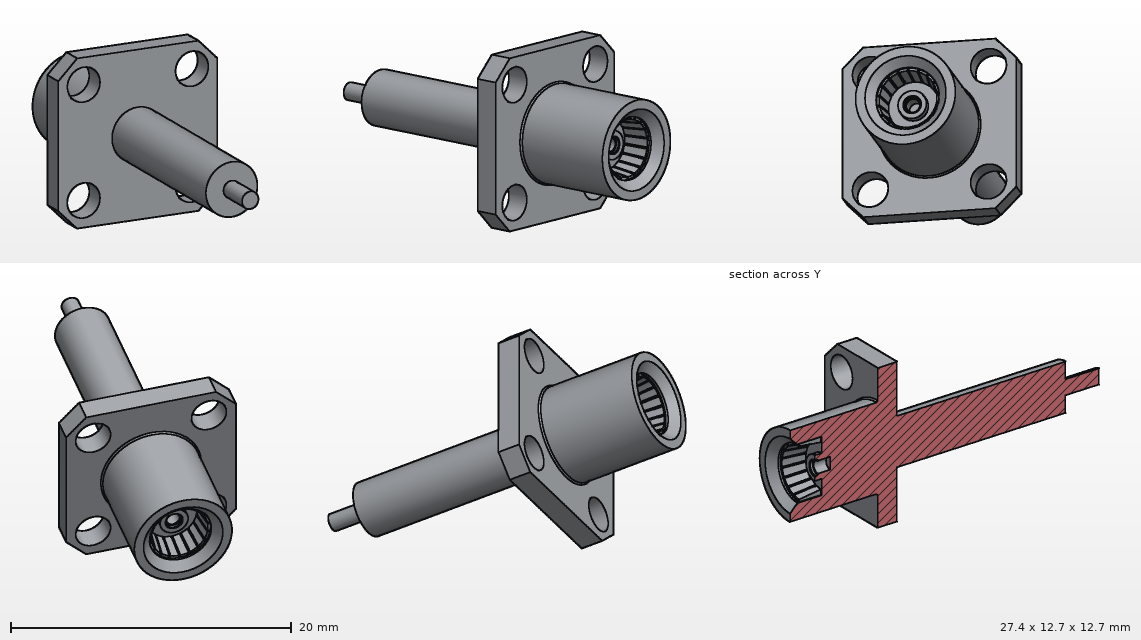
import cadquery as cq

total_length = 27.4
flange_front = 7.78
flange_thickness = 1.73
flange_back = flange_front + flange_thickness
sleeve_end = 24.45

flange_side = 12.7
corner_chamfer = 1.5
hole_spacing = 8.63
hole_diameter = 2.6

barrel_radius = 3.65
flare_radius = 3.75
flare_length = 0.15

sleeve_radius = 2.05
pin_radius = 0.65

mouth_radius = 2.95
bore_radius = 2.3
lead_in_depth = mouth_radius - bore_radius
finger_front = lead_in_depth + 0.2
finger_front_radius = 2.1
finger_root_radius = 1.86
socket_depth = 2.8
slot_count = 18
slot_width = 0.1

boss_radius = 1.05
boss_height = 0.6
boss_front = socket_depth - boss_height
contact_radius = 0.5
entry_radius = 0.6
entry_chamfer = 0.05
entry_depth = 0.27
contact_depth = 1.37


def rod(start, end, radius):
    """Solid cylinder on the X axis between two stations."""
    return cq.Workplane("YZ", origin=(start, 0, 0)).circle(radius).extrude(end - start)


def revolved(profile):
    """Solid of revolution about X from (station, radius) points."""
    return cq.Workplane("XY").polyline(profile).close().revolve(360, (0, 0, 0), (1, 0, 0))


def make_flange():
    plate = (
        cq.Workplane("YZ", origin=(flange_front, 0, 0))
        .rect(flange_side, flange_side)
        .extrude(flange_thickness)
        .edges("|X")
        .chamfer(corner_chamfer)
    )
    holes = (
        cq.Workplane("YZ", origin=(flange_front, 0, 0))
        .rect(hole_spacing, hole_spacing, forConstruction=True)
        .vertices()
        .circle(hole_diameter / 2)
        .extrude(flange_thickness)
    )
    return plate.cut(holes)


def make_barrel():
    return revolved([
        (0, 0),
        (0, barrel_radius),
        (flange_front - flare_length, barrel_radius),
        (flange_front, flare_radius),
        (flange_front, 0),
    ])


def make_socket_cavity():
    """Void of the mating socket, including the slots between the fingers."""
    cavity = revolved([
        (0, 0),
        (0, mouth_radius),
        (lead_in_depth, bore_radius),
        (finger_front, bore_radius),
        (finger_front, finger_front_radius),
        (socket_depth, finger_root_radius),
        (socket_depth, 0),
    ])
    slot_length = socket_depth - finger_front
    slot_inner_radius = finger_root_radius - slot_width
    slot_height = bore_radius - slot_inner_radius
    slot = cq.Workplane("XY").box(slot_length, slot_width, slot_height, centered=(False, True, False))
    slot = slot.translate((finger_front, 0, slot_inner_radius))
    for index in range(slot_count):
        angle = index * 360 / slot_count
        cavity = cavity.union(slot.rotate((0, 0, 0), (1, 0, 0), angle))
    return cavity


def make_contact_hole():
    """Blind contact hole with a wider, chamfered entry."""
    entry_end = boss_front + entry_depth
    contact_end = boss_front + contact_depth
    return revolved([
        (boss_front, 0),
        (boss_front, entry_radius + entry_chamfer),
        (boss_front + entry_chamfer, entry_radius),
        (entry_end, entry_radius),
        (entry_end, contact_radius),
        (contact_end, contact_radius),
        (contact_end, 0),
    ])


barrel = make_barrel()
sleeve = rod(flange_back, sleeve_end, sleeve_radius)
pin = rod(sleeve_end, total_length, pin_radius)
boss = rod(boss_front, socket_depth, boss_radius)

result = make_flange().union(barrel).union(sleeve).union(pin)
result = result.cut(make_socket_cavity()).union(boss).cut(make_contact_hole())